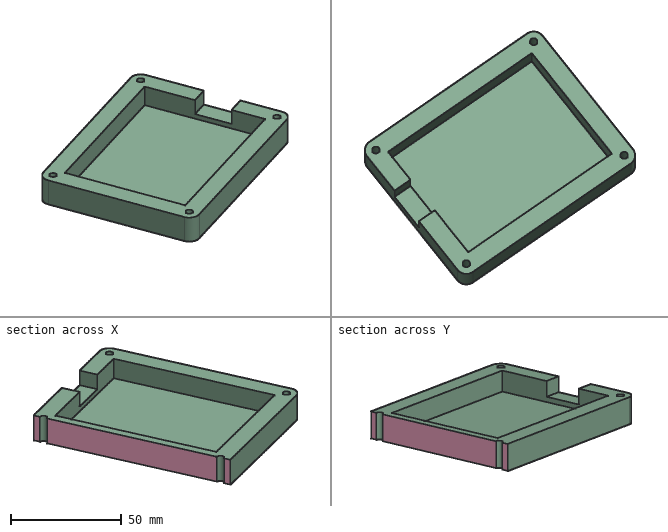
import cadquery as cq

LENGTH_X = 79.0
LENGTH_Y = 99.0
HEIGHT = 13.0
CORNER_RADIUS = 5.0

WALL = 9.0
FLOOR = 3.0
CAVITY_X = LENGTH_X - 2 * WALL
CAVITY_Y = LENGTH_Y - 2 * WALL
CAVITY_DEPTH = HEIGHT - FLOOR

HOLE_DIAMETER = 3.4
HOLE_SPACING_X = LENGTH_X - 2 * CORNER_RADIUS
HOLE_SPACING_Y = LENGTH_Y - 2 * CORNER_RADIUS

NOTCH_LEFT_X = -5.0
NOTCH_WIDTH = 18.5
NOTCH_DEPTH = 7.5


def make_block():
    """Solid block standing on Z = 0 with rounded vertical corners."""
    block = cq.Workplane("XY").box(LENGTH_X, LENGTH_Y, HEIGHT, centered=(True, True, False))
    return block.edges("|Z").fillet(CORNER_RADIUS)


def make_cavity():
    """Rectangular pocket volume above the floor."""
    cavity = cq.Workplane("XY").box(CAVITY_X, CAVITY_Y, CAVITY_DEPTH, centered=(True, True, False))
    return cavity.translate((0, 0, FLOOR))


def make_screw_holes():
    """Four through holes, one in each corner."""
    return (
        cq.Workplane("XY")
        .rect(HOLE_SPACING_X, HOLE_SPACING_Y, forConstruction=True)
        .vertices()
        .circle(HOLE_DIAMETER / 2)
        .extrude(HEIGHT)
    )


def make_notch():
    """Slot volume that opens the +Y wall from the top down into the cavity."""
    notch = cq.Workplane("XY").box(NOTCH_WIDTH, WALL, NOTCH_DEPTH, centered=False)
    return notch.translate((NOTCH_LEFT_X, CAVITY_Y / 2, HEIGHT - NOTCH_DEPTH))


result = make_block().cut(make_cavity()).cut(make_screw_holes()).cut(make_notch())